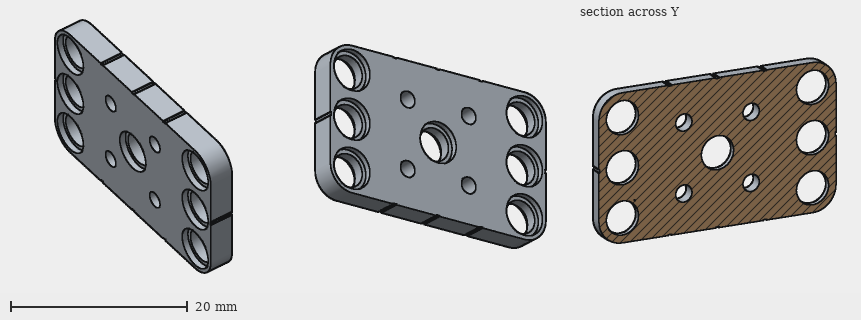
import cadquery as cq
import math

length = 30.0
thickness = 3.0
height = 18.0
corner_radius = 3.0

bore_diameter = 4.0
counterbore_diameter = 5.0
counterbore_depth = 0.8
column_offset = length / 2 - corner_radius
row_pitch = height / 2 - corner_radius

small_hole_diameter = 2.0
small_hole_count = 4
bolt_circle_diameter = 12.0
first_hole_angle = 45.0

groove_width = 0.4
groove_depth = 0.1
groove_pitch = 6.0


def cylinder(x, z, diameter, start=0.0, depth=thickness):
    """Cylinder along +Y centred at (x, z), beginning at y = start."""
    base = cq.Vector(x, start, z)
    return cq.Workplane(cq.Solid.makeCylinder(diameter / 2, depth, base, cq.Vector(0, 1, 0)))


def make_plate():
    plate = cq.Workplane("XY").box(length, thickness, height, centered=(True, False, True))
    return plate.edges("|Y").fillet(corner_radius)


def cut_counterbored_hole(plate, x, z):
    plate = plate.cut(cylinder(x, z, bore_diameter))
    for start in (0.0, thickness - counterbore_depth):
        plate = plate.cut(cylinder(x, z, counterbore_diameter, start, counterbore_depth))
    return plate


def cut_large_holes(plate):
    plate = cut_counterbored_hole(plate, 0, 0)
    for x in (-column_offset, column_offset):
        for z in (-row_pitch, 0, row_pitch):
            plate = cut_counterbored_hole(plate, x, z)
    return plate


def cut_small_holes(plate):
    radius = bolt_circle_diameter / 2
    for index in range(small_hole_count):
        angle = math.radians(first_hole_angle + index * 360 / small_hole_count)
        plate = plate.cut(cylinder(radius * math.cos(angle), radius * math.sin(angle), small_hole_diameter))
    return plate


def cut_grooves(plate):
    upright = cq.Workplane("XY").box(groove_width, thickness, 2 * groove_depth, centered=(True, False, True))
    sideways = cq.Workplane("XY").box(2 * groove_depth, thickness, groove_width, centered=(True, False, True))
    for side in (-1, 1):
        plate = plate.cut(sideways.translate((side * length / 2, 0, 0)))
        for x in (-groove_pitch, 0, groove_pitch):
            plate = plate.cut(upright.translate((x, 0, side * height / 2)))
    return plate


result = cut_grooves(cut_small_holes(cut_large_holes(make_plate())))